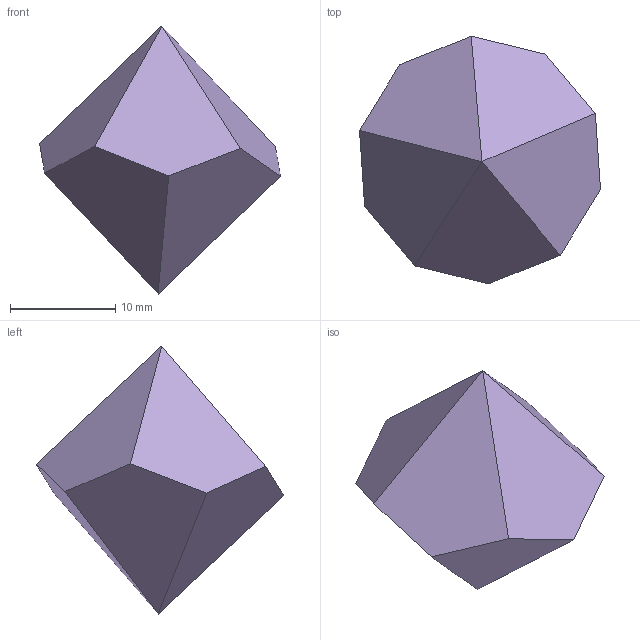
import math
import cadquery as cq

SIDES = 5
TIP_HEIGHT = 12.7375
GIRDLE_RADIUS = 11.815
SPIN_ANGLE = 22.150
TILT_ANGLE = 1.1373
TILT_DIRECTION = -42.337

STEP_ANGLE = 360.0 / SIDES
HALF_STEP = STEP_ANGLE / 2.0

HALF_STEP_COSINE = math.cos(math.radians(HALF_STEP))
GIRDLE_OFFSET = TIP_HEIGHT * (1.0 - HALF_STEP_COSINE) / (1.0 + HALF_STEP_COSINE)


def girdle_corner(angle, height):
    """Girdle corner at the given direction (degrees) and height."""
    turn = math.radians(angle)
    return cq.Vector(GIRDLE_RADIUS * math.cos(turn), GIRDLE_RADIUS * math.sin(turn), height)


def kite_face(middle_angle, side):
    """Kite face on the upper (side=1) or lower (side=-1) half of the die."""
    corners = [
        cq.Vector(0, 0, side * TIP_HEIGHT),
        girdle_corner(middle_angle - HALF_STEP, side * GIRDLE_OFFSET),
        girdle_corner(middle_angle, -side * GIRDLE_OFFSET),
        girdle_corner(middle_angle + HALF_STEP, side * GIRDLE_OFFSET),
    ]
    return cq.Face.makeFromWires(cq.Wire.makePolygon(corners, close=True))


def upright_die():
    """Closed solid made of the ten kites, with its axis along Z."""
    faces = []
    for index in range(SIDES):
        upper_corner = SPIN_ANGLE + index * STEP_ANGLE
        faces.append(kite_face(upper_corner + HALF_STEP, 1))
        faces.append(kite_face(upper_corner, -1))
    return cq.Solid.makeSolid(cq.Shell.makeShell(faces))


tilt_axis_turn = math.radians(TILT_DIRECTION + 90.0)
tilt_axis = (math.cos(tilt_axis_turn), math.sin(tilt_axis_turn), 0)

result = cq.Workplane(obj=upright_die()).rotate((0, 0, 0), tilt_axis, TILT_ANGLE)